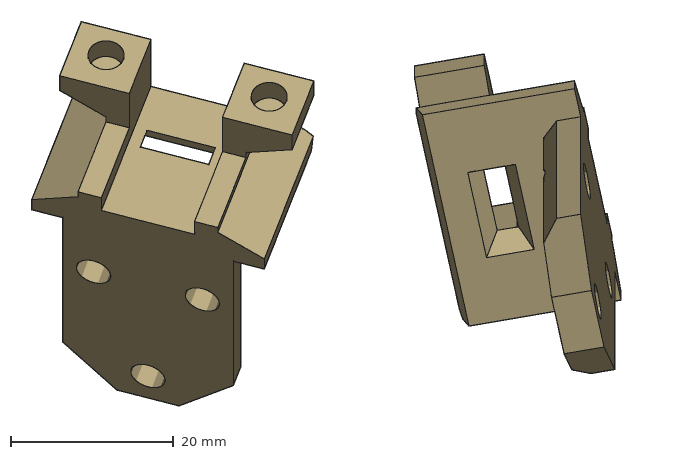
import cadquery as cq

width = 30.0
depth = 20.0
height = 45.5
half_width = width / 2

waist_half = 9.0
channel_half = 6.0
channel_floor_z = height - 9.6
arm_edge_height = 3.0
groove_rise = 3.0
waist_height = 2.0
arm_slope_z = height - arm_edge_height
waist_top_z = arm_slope_z - groove_rise
waist_bottom_z = waist_top_z - waist_height
flange_top_z = waist_bottom_z - groove_rise
head_bottom_z = height - 13.1

arm_depth = 8.75
rail_top_z = height - 7.0
bevel_depth = 1.0
bevel_height = 2.7

plate_half = 11.0
plate_thickness = 5.0
taper = 7.0
rear_bevel = 2.0

hole_diameter = 4.4
upper_hole_x = 7.0
upper_hole_z = height - 22.5
lower_hole_z = height - 41.0
arm_hole_x = 10.5
arm_hole_y = depth - 4.0
arm_hole_depth = 3.2
slot_length = 8.8
slot_width = 2.7
slot_y = depth - 7.9
slot_flare = 1.65


def extrude_profile(points, length):
    """Extrude an XZ outline from the front face toward +Y."""
    return cq.Workplane("XZ").polyline(points).close().extrude(-length)


def make_head():
    right_side = [
        (channel_half, channel_floor_z),
        (channel_half, height),
        (half_width, height),
        (half_width, arm_slope_z),
        (waist_half, waist_top_z),
        (waist_half, waist_bottom_z),
        (half_width, flange_top_z),
        (half_width, head_bottom_z),
    ]
    left_side = [(-x, z) for x, z in reversed(right_side)]
    head = extrude_profile(right_side + left_side, depth)

    front_clearance = cq.Workplane().box(
        width, depth - arm_depth, height - rail_top_z, centered=(True, False, False)
    ).translate((0, 0, rail_top_z))

    rear_wedge = (
        cq.Workplane("YZ")
        .polyline([
            (depth - bevel_depth, head_bottom_z),
            (depth, head_bottom_z),
            (depth, head_bottom_z + bevel_height),
        ])
        .close()
        .extrude(half_width, both=True)
    )
    return head.cut(front_clearance).cut(rear_wedge)


def make_plate():
    """Plate with a tapered lower end and bevelled rear side edges."""
    right_side = [
        (plate_half - taper, 0),
        (plate_half, taper),
        (plate_half, head_bottom_z),
    ]
    left_side = [(-x, z) for x, z in reversed(right_side)]
    plate = extrude_profile(right_side + left_side, plate_thickness)
    bevelled_section = (
        cq.Workplane("XY")
        .polyline([
            (-plate_half, 0),
            (plate_half, 0),
            (plate_half, plate_thickness - rear_bevel),
            (plate_half - rear_bevel, plate_thickness),
            (rear_bevel - plate_half, plate_thickness),
            (-plate_half, plate_thickness - rear_bevel),
        ])
        .close()
        .extrude(head_bottom_z)
    )
    return plate.intersect(bevelled_section)


def make_plate_holes():
    centres = [
        (-upper_hole_x, upper_hole_z),
        (upper_hole_x, upper_hole_z),
        (0, lower_hole_z),
    ]
    return cq.Workplane("XZ").pushPoints(centres).circle(hole_diameter / 2).extrude(-plate_thickness)


def make_arm_holes():
    """Blind holes in the tops of the arms."""
    return (
        cq.Workplane("XY", origin=(0, 0, height))
        .pushPoints([(-arm_hole_x, arm_hole_y), (arm_hole_x, arm_hole_y)])
        .circle(hole_diameter / 2)
        .extrude(-arm_hole_depth)
    )


def make_slot():
    """Rectangular opening through the channel floor, flaring evenly toward the underside."""
    return (
        cq.Workplane("XY", origin=(0, slot_y, channel_floor_z))
        .rect(slot_length, slot_width)
        .workplane(offset=head_bottom_z - channel_floor_z)
        .rect(slot_length + 2 * slot_flare, slot_width + 2 * slot_flare)
        .loft(ruled=True)
    )


result = make_head().union(make_plate())
result = result.cut(make_plate_holes()).cut(make_arm_holes()).cut(make_slot())